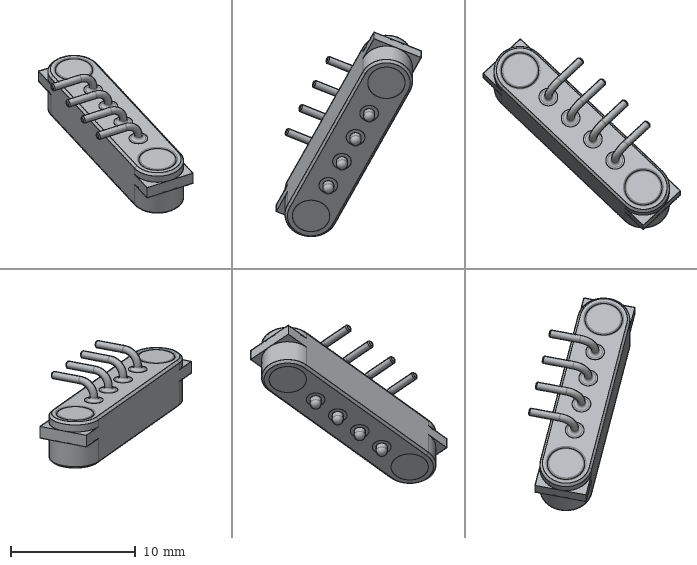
import cadquery as cq
import math

length = 18.26
width = 4.2
height = 4.0
edge_chamfer = 0.2
flange_thickness = 1.0
flange_depth = 0.8
flange_base = height - flange_depth - flange_thickness
end_spacing = length - width

magnet_diameter = 3.0
magnet_rounding = 0.1
magnet_places = [(-end_spacing / 2, 0), (end_spacing / 2, 0)]

pin_count = 4
pin_pitch = 2.54
barrel_diameter = 1.5
plunger_diameter = 0.9
plunger_length = 0.9
wire_diameter = 0.6
wire_rise = 1.5
wire_reach = 3.75
wire_end_chamfer = 0.1
flare_radius = 0.3
bend_radius = wire_rise - flare_radius
pin_places = [((i - (pin_count - 1) / 2) * pin_pitch, 0) for i in range(pin_count)]


def make_housing():
    """Round-ended block with a rectangular flange and holes for the magnets and pins."""
    block = cq.Workplane("XY").slot2D(length, width).extrude(height)
    block = block.faces("<Z or >Z").edges().chamfer(edge_chamfer)
    flange = (
        cq.Workplane("XY", origin=(0, 0, flange_base))
        .rect(length, width)
        .extrude(flange_thickness)
    )
    magnet_holes = cq.Workplane("XY").pushPoints(magnet_places).circle(magnet_diameter / 2).extrude(height)
    pin_holes = cq.Workplane("XY").pushPoints(pin_places).circle(barrel_diameter / 2).extrude(height)

    body = block.union(flange).cut(magnet_holes)
    magnet_hole_rims = cq.selectors.RadiusNthSelector(0)
    body = body.faces(">Z").edges("%CIRCLE").edges(magnet_hole_rims).fillet(magnet_rounding)
    return body.cut(pin_holes).solids()


def make_magnet(place):
    """Cylinder with a rounded top rim, flush with the top and bottom of the housing."""
    magnet = cq.Workplane("XY").circle(magnet_diameter / 2).extrude(height)
    magnet = magnet.faces(">Z").edges().fillet(magnet_rounding)
    return magnet.translate((*place, 0)).solids()


def make_pin(place):
    """Contact pin: domed plunger, barrel, flared neck and a wire bent towards -Y."""
    barrel_radius = barrel_diameter / 2
    plunger_radius = plunger_diameter / 2
    wire_radius = wire_diameter / 2
    neck_top = height + flare_radius
    flare_base_radius = wire_radius + flare_radius
    dome_base = plunger_radius - plunger_length
    diagonal = math.cos(math.radians(45))

    turned = (
        cq.Workplane("XZ")
        .moveTo(0, -plunger_length)
        .threePointArc(
            (plunger_radius * diagonal, dome_base - plunger_radius * diagonal),
            (plunger_radius, dome_base),
        )
        .lineTo(plunger_radius, 0)
        .lineTo(barrel_radius, 0)
        .lineTo(barrel_radius, height)
        .lineTo(flare_base_radius, height)
        .threePointArc(
            (flare_base_radius - flare_radius * diagonal, neck_top - flare_radius * diagonal),
            (wire_radius, neck_top),
        )
        .lineTo(0, neck_top)
        .close()
        .revolve(360, (0, 0, 0), (0, 1, 0))
    )
    bend = (
        cq.Workplane("XY", origin=(0, 0, neck_top))
        .circle(wire_radius)
        .revolve(90, (0, -bend_radius, 0), (1, -bend_radius, 0))
    )
    level_wire = (
        cq.Workplane("XZ", origin=(0, -bend_radius, height + wire_rise))
        .circle(wire_radius)
        .extrude(wire_reach - bend_radius)
        .faces("<Y")
        .edges()
        .chamfer(wire_end_chamfer)
    )
    return turned.union(bend).union(level_wire).translate((*place, 0)).solids()


housing = make_housing()
magnets = [make_magnet(place) for place in magnet_places]
pins = [make_pin(place) for place in pin_places]

result = cq.Compound.makeCompound(
    [housing.val()] + [magnet.val() for magnet in magnets] + [pin.val() for pin in pins]
)